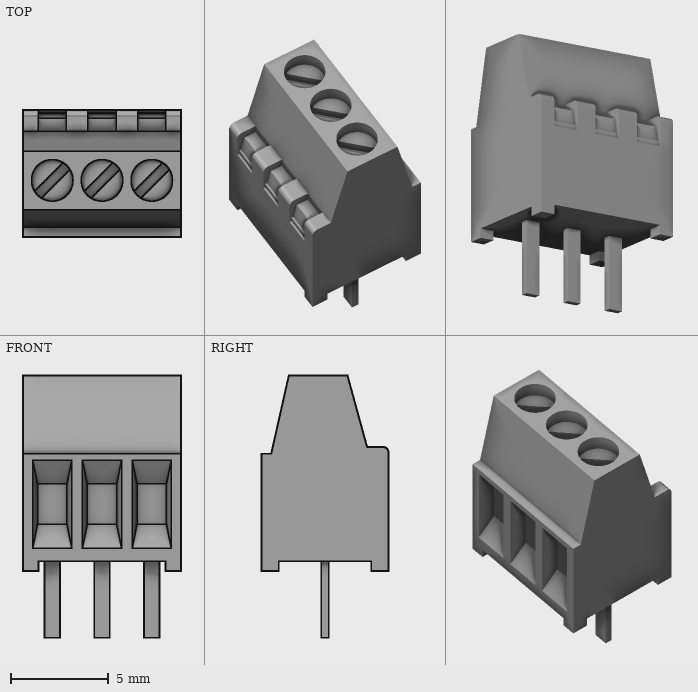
import cadquery as cq

pole_count = 3
pitch = 2.54
pole_positions = [(i - (pole_count - 1) / 2) * pitch for i in range(pole_count)]

end_margin = 0.23
width = pole_count * pitch + 2 * end_margin
depth = 6.5
height = 10.0
front_y = -depth / 2
back_y = depth / 2
front_ledge_z = 6.0
back_shelf_z = 6.35
tower_front_foot_y = -2.75
tower_back_foot_y = 2.15
tower_front_top_y = -1.85
tower_back_top_y = 1.15
back_edge_radius = 0.3

foot_height = 0.5
foot_width = 0.8
foot_depth = 0.9

well_diameter = 2.12
well_depth = 0.8
well_y = (tower_front_top_y + tower_back_top_y) / 2
slot_width = 0.5
slot_depth = 0.5
slot_angle = 45

entry_width = 2.0
entry_height = 4.5
entry_center_z = 3.42
entry_inner_width = 1.5
entry_inner_height = 2.07
entry_depth = 0.8

notch_width = 1.43
notch_depth = 0.5
notch_floor_z = back_shelf_z - notch_depth
notch_slope_drop = 0.85
notch_lip_drop = 0.3
notch_slope_top_inset = 0.43
notch_slope_foot_inset = 0.21
notch_lip_inset = 0.11

pin_width = 0.8
pin_thickness = 0.4
pin_tip_z = -3.4


def make_housing():
    """Side profile extruded across the width, with the upper back edge rounded."""
    profile = [
        (front_y, 0),
        (back_y, 0),
        (back_y, back_shelf_z),
        (tower_back_foot_y, back_shelf_z),
        (tower_back_top_y, height),
        (tower_front_top_y, height),
        (tower_front_foot_y, front_ledge_z),
        (front_y, front_ledge_z),
    ]
    body = cq.Workplane("YZ").polyline(profile).close().extrude(width / 2, both=True)
    back_edge = cq.selectors.NearestToPointSelector((0, back_y, back_shelf_z))
    return body.edges(back_edge).fillet(back_edge_radius)


def make_underside_relief():
    """Cross-shaped recess that leaves a foot at each corner."""
    between_ends = cq.Workplane("XY").rect(width - 2 * foot_width, depth).extrude(foot_height)
    between_sides = cq.Workplane("XY").rect(width, depth - 2 * foot_depth).extrude(foot_height)
    return between_ends.union(between_sides)


def make_screw_well(x):
    """Round well whose floor is the screw head, with a diagonal driver slot."""
    floor_z = height - well_depth
    top = cq.Workplane("XY", origin=(x, well_y, height))
    floor = cq.Workplane("XY", origin=(x, well_y, floor_z))
    well = top.circle(well_diameter / 2).extrude(-well_depth)
    slot_bar = (
        floor.transformed(rotate=(0, 0, slot_angle))
        .rect(2 * well_diameter, slot_width)
        .extrude(-slot_depth)
    )
    slot = floor.circle(well_diameter / 2).extrude(-slot_depth).intersect(slot_bar)
    return well.union(slot)


def make_wire_entry(x):
    """Funnel that narrows from the front face to a smaller rectangle."""
    return (
        cq.Workplane("XZ", origin=(x, front_y, entry_center_z))
        .rect(entry_width, entry_height)
        .workplane(offset=-entry_depth)
        .rect(entry_inner_width, entry_inner_height)
        .loft(ruled=True)
    )


def make_back_notch(x):
    """Notch with a flat floor, a steep slope and a stepped lip toward the back face."""
    slope_foot_z = notch_floor_z - notch_slope_drop
    lip_z = slope_foot_z - notch_lip_drop
    profile = [
        (tower_back_foot_y, back_shelf_z),
        (tower_back_foot_y, notch_floor_z),
        (back_y - notch_slope_top_inset, notch_floor_z),
        (back_y - notch_slope_foot_inset, slope_foot_z),
        (back_y - notch_lip_inset, slope_foot_z),
        (back_y - notch_lip_inset, lip_z),
        (back_y, lip_z),
        (back_y, back_shelf_z),
    ]
    plane = cq.Workplane("YZ", origin=(x, 0, 0))
    return plane.polyline(profile).close().extrude(notch_width / 2, both=True)


def make_pin(x):
    """Rectangular pin hanging from the underside of the housing."""
    plane = cq.Workplane("XY", origin=(x, 0, pin_tip_z))
    return plane.rect(pin_width, pin_thickness).extrude(foot_height - pin_tip_z)


result = make_housing().cut(make_underside_relief())
for pole_x in pole_positions:
    result = result.cut(make_screw_well(pole_x))
    result = result.cut(make_wire_entry(pole_x))
    result = result.cut(make_back_notch(pole_x))
    result = result.union(make_pin(pole_x))